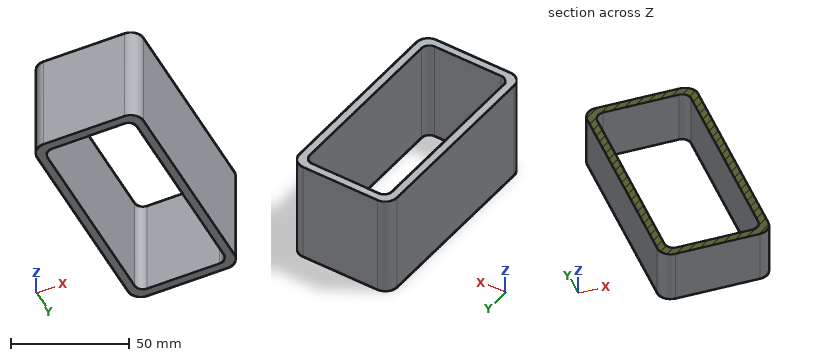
import cadquery as cq

width = 50.0
depth = 100.0
height = 50.0
wall = 4.0
outer_radius = 6.0
inner_radius = 4.0


def rounded_block(size_x, size_y, corner_radius):
    """Upright block with rounded vertical edges, standing on the XY plane."""
    block = cq.Workplane("XY").rect(size_x, size_y).extrude(height)
    return block.edges("|Z").fillet(corner_radius)


outer = rounded_block(width, depth, outer_radius)
bore = rounded_block(width - 2 * wall, depth - 2 * wall, inner_radius)

result = outer.cut(bore)